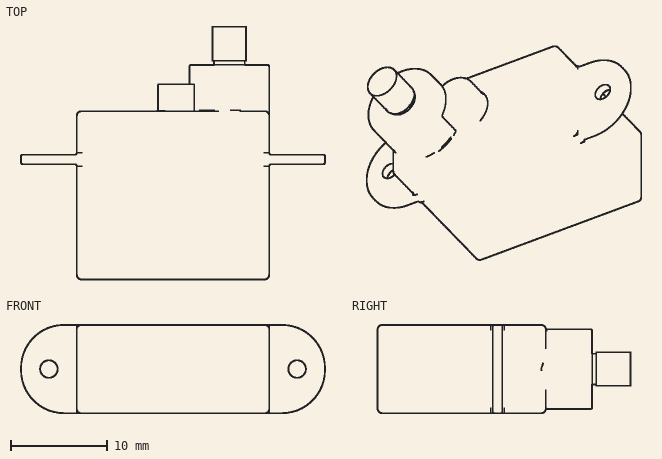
import cadquery as cq

case_width = 20.0
case_depth = 17.5
case_height = 9.2
case_round = 0.5

ear_span = 31.6
ear_thickness = 1.0
ear_center_y = 12.48
ear_corner_radius = 4.5
ear_round = 0.2
ear_hole_diameter = 1.8
ear_hole_spacing = 25.8

housing_diameter = 8.3
housing_length = 4.8
housing_x = (case_width - housing_diameter) / 2
neck_diameter = 3.22
neck_length = 0.4
shaft_diameter = 3.5
total_depth = 26.3

boss_diameter = 4.87
boss_length = 2.8
boss_x = 0.85

rim_round = 0.2
foot_round = 0.1

pick_margin = 0.015


def cylinder_y(diameter, x, y_start, y_end):
    """Cylinder along Y on the mid-height plane."""
    start_plane = cq.Workplane("XZ", origin=(x, y_start, 0))
    return start_plane.circle(diameter / 2).extrude(y_start - y_end)


def make_case():
    case = cq.Workplane("XY").box(case_width, case_depth, case_height)
    return case.translate((0, case_depth / 2, 0)).edges().fillet(case_round)


def edges_in_range(x_from, x_to):
    """Selector for edges close to the ear plate's mid-plane, between two X positions."""
    near_corner = (x_from, -ear_thickness, -case_height)
    far_corner = (x_to, ear_thickness, case_height)
    return cq.selectors.BoxSelector(near_corner, far_corner)


def make_ear_plate():
    """Ear plate whose roots flare out to the case sides, with square-ended flares."""
    side = case_width / 2
    beyond = ear_span / 2

    plate = cq.Workplane("XY").box(ear_span, ear_thickness, case_height)
    plate = plate.edges("|Y").fillet(ear_corner_radius)
    plate = plate.union(cq.Workplane("XY").box(case_width, case_depth, case_height))
    roots = edges_in_range(-side - pick_margin, side + pick_margin)
    plate = plate.edges("|Z").edges(roots).fillet(ear_round)
    flared_depth = ear_thickness + 2 * ear_round
    plate = plate.intersect(cq.Workplane("XY").box(ear_span, flared_depth, case_height))

    right_ear = edges_in_range(side + pick_margin, beyond)
    left_ear = edges_in_range(-beyond, -side - pick_margin)
    for ear in (right_ear, left_ear):
        plate = plate.edges("not |Y").edges("not |Z").edges(ear).fillet(ear_round)
    return plate.translate((0, ear_center_y, 0))


def add_gear_housing(body):
    """Housing and gear boss joined to the case with a small blend at the foot."""
    rear = case_depth
    root = case_depth - case_round
    housing = cylinder_y(housing_diameter, housing_x, root, rear + housing_length)
    housing = housing.faces(">Y").edges().fillet(rim_round)
    boss = cylinder_y(boss_diameter, boss_x, root, rear + boss_length)
    boss = boss.faces(">Y").edges().fillet(rim_round)
    body = body.union(housing).union(boss)

    reach = housing_diameter / 2
    feet = cq.selectors.BoxSelector(
        (boss_x - boss_diameter, rear - pick_margin, -reach),
        (housing_x, rear + pick_margin, reach),
    )
    return body.edges(feet).fillet(foot_round)


def add_output_shaft(body):
    neck_start = case_depth + housing_length
    shaft_start = neck_start + neck_length
    neck = cylinder_y(neck_diameter, housing_x, neck_start, shaft_start)
    shaft = cylinder_y(shaft_diameter, housing_x, shaft_start, total_depth)
    return body.union(neck.union(shaft))


def cut_ear_holes(body):
    for x in (-ear_hole_spacing / 2, ear_hole_spacing / 2):
        hole = cylinder_y(
            ear_hole_diameter,
            x,
            ear_center_y - ear_thickness,
            ear_center_y + ear_thickness,
        )
        body = body.cut(hole)
    return body


result = make_case().union(make_ear_plate())
result = add_gear_housing(result)
result = add_output_shaft(result)
result = cut_ear_holes(result)